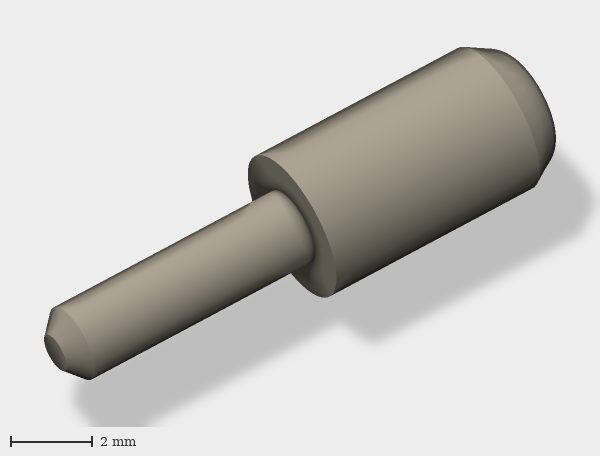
import cadquery as cq
import math

total_length = 14.0
head_diameter = 3.9
head_length = 7.0
shank_diameter = 2.0
tip_chamfer = 0.5

taper_length = 1.0
taper_angle = math.radians(30)
rim_radius = 0.7

head_radius = head_diameter / 2
shank_radius = shank_diameter / 2
tip_y = -total_length / 2
head_end_y = total_length / 2
shoulder_y = head_end_y - head_length
taper_start_y = head_end_y - taper_length
cone_end_radius = head_radius - taper_length * math.tan(taper_angle)

profile = (
    cq.Workplane("XY")
    .moveTo(0, tip_y)
    .lineTo(shank_radius - tip_chamfer, tip_y)
    .lineTo(shank_radius, tip_y + tip_chamfer)
    .lineTo(shank_radius, shoulder_y)
    .lineTo(head_radius, shoulder_y)
    .lineTo(head_radius, taper_start_y)
    .lineTo(cone_end_radius, head_end_y)
    .lineTo(0, head_end_y)
    .close()
)

pin = profile.revolve(360, (0, 0, 0), (0, 1, 0))
result = pin.faces(">Y").edges().fillet(rim_radius)